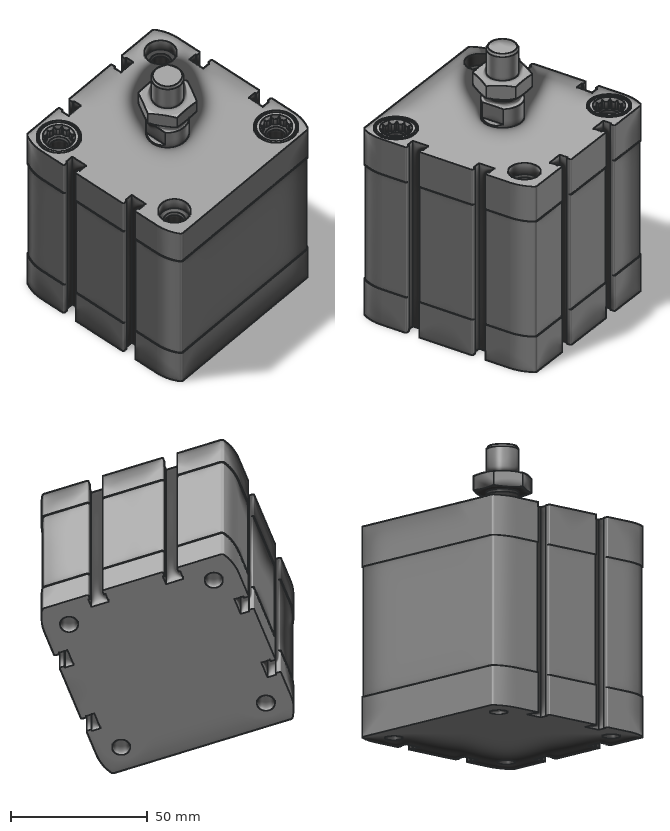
import cadquery as cq
import math

TOTAL_HEIGHT = 109.0
HOUSING_WIDTH = 75.5
HOUSING_HEIGHT = 79.0
CAP_HEIGHT = 15.0
BARREL_INSET = 0.3

HOLE_OFFSET = 28.1
CORNER_RADIUS = 18.0
EDGE_RADIUS = 1.4

SLOT_OFFSET = 14.5
SLOT_MOUTH_WIDTH = 5.5
SLOT_INNER_WIDTH = 6.8
SLOT_LIP = 2.0
SLOT_DEPTH = 5.3
MOUTH_RADIUS = 0.4

BORE_DIAMETER = 6.6
BORE_COUNTERSINK_DIAMETER = 8.0
BORE_COUNTERSINK_DEPTH = 0.9
COUNTERBORE_DIAMETER = 12.0
COUNTERBORE_DEPTH = 4.9

COLLAR_DIAMETER = 15.5
COLLAR_CHAMFER = 0.49
GROOVE_DIAMETER = 16.4
GROOVE_DEPTH = 1.1
SOCKET_DEPTH = 4.4
SOCKET_MOUTH_DIAMETER = 12.0
SOCKET_CONE_DEPTH = 1.4
SOCKET_DIAMETER = 10.2
SOCKET_POINT_RADIUS = 5.7
SOCKET_POINTS = 12

ROD_DIAMETER = 16.0
THREAD_DIAMETER = 12.0
THREAD_TOP_DIAMETER = 10.7
THREAD_CHAMFER_HEIGHT = 1.1
NECK_DIAMETER = 10.2
SHOULDER_Z = 87.0
NECK_TOP_Z = 88.4
NECK_ROOT_RADIUS = 0.9
THREAD_BOTTOM_Z = 90.8
FLAT_WIDTH = 13.1
FLAT_BOTTOM_Z = 80.4
FLAT_RUNOUT_ANGLE = 30.0

NUT_SIDES = 6
NUT_WIDTH = 19.0
NUT_HEIGHT = 6.0
NUT_BOTTOM_Z = 91.9
NUT_FACE_DIAMETER = 18.7
NUT_CHAMFER_ANGLE = 15.0

HALF_WIDTH = HOUSING_WIDTH / 2
BARREL_HEIGHT = HOUSING_HEIGHT - 2 * CAP_HEIGHT
NUT_CORNER_DIAMETER = NUT_WIDTH / math.cos(math.pi / NUT_SIDES)


def cylinder(diameter, bottom, top):
    """Upright cylinder on the Z axis between two heights."""
    return cq.Workplane("XY").workplane(offset=bottom).circle(diameter / 2).extrude(top - bottom)


def cone(bottom_diameter, top_diameter, bottom, top):
    """Upright truncated cone on the Z axis between two heights."""
    solid = cq.Solid.makeCone(
        bottom_diameter / 2, top_diameter / 2, top - bottom, pnt=cq.Vector(0, 0, bottom)
    )
    return cq.Workplane(obj=solid)


def block_outline(inset):
    """Housing outline with a large arc at each corner, set in from the cap surface."""
    half = HALF_WIDTH - inset
    radius = CORNER_RADIUS - inset
    arc_centre_y = HALF_WIDTH - CORNER_RADIUS
    reach = half - HOLE_OFFSET
    side_y = arc_centre_y + math.sqrt(radius**2 - reach**2)
    half_turn = math.asin(reach / radius) / 2
    middle_x = HOLE_OFFSET + radius * math.sin(half_turn)
    middle_y = arc_centre_y + radius * math.cos(half_turn)
    return (
        cq.Workplane("XY")
        .moveTo(-HOLE_OFFSET, half)
        .lineTo(HOLE_OFFSET, half)
        .threePointArc((middle_x, middle_y), (half, side_y))
        .lineTo(half, -side_y)
        .threePointArc((middle_x, -middle_y), (HOLE_OFFSET, -half))
        .lineTo(-HOLE_OFFSET, -half)
        .threePointArc((-middle_x, -middle_y), (-half, -side_y))
        .lineTo(-half, side_y)
        .threePointArc((-middle_x, middle_y), (-HOLE_OFFSET, half))
        .close()
    )


def t_slot(face_angle, offset, surface, height):
    """T-slot cutter with a rounded mouth, in the face whose outward normal is at face_angle."""
    mouth = SLOT_MOUTH_WIDTH / 2
    inner = SLOT_INNER_WIDTH / 2
    lip_x = HALF_WIDTH - SLOT_LIP
    floor_x = HALF_WIDTH - SLOT_DEPTH
    round_x = surface - MOUTH_RADIUS
    flare = mouth + MOUTH_RADIUS
    arc_step = MOUTH_RADIUS * (1 - math.sqrt(0.5))
    return (
        cq.Workplane("XY")
        .moveTo(floor_x, -inner)
        .lineTo(lip_x, -inner)
        .lineTo(lip_x, -mouth)
        .lineTo(round_x, -mouth)
        .threePointArc((surface - arc_step, -mouth - arc_step), (surface, -flare))
        .lineTo(surface, flare)
        .threePointArc((surface - arc_step, mouth + arc_step), (round_x, mouth))
        .lineTo(lip_x, mouth)
        .lineTo(lip_x, inner)
        .lineTo(floor_x, inner)
        .close()
        .extrude(height)
        .translate((0, offset, 0))
        .rotate((0, 0, 0), (0, 0, 1), face_angle)
    )


def block(inset, height):
    """One slotted length of the housing: T-slots on -X, +Y and -Y, and a plain +X face."""
    body = block_outline(inset).extrude(height)
    body = body.edges("|Z and (>X or <X)").fillet(EDGE_RADIUS)
    for face_angle in (90, 180, 270):
        for offset in (-SLOT_OFFSET, SLOT_OFFSET):
            body = body.cut(t_slot(face_angle, offset, HALF_WIDTH - inset, height))
    return body


def corner_bore(seat_z):
    """Through bore with a countersink below a seat at the given height."""
    countersink = cone(BORE_DIAMETER, BORE_COUNTERSINK_DIAMETER, seat_z - BORE_COUNTERSINK_DEPTH, seat_z)
    return cylinder(BORE_DIAMETER, 0, seat_z).union(countersink)


def counterbored_hole():
    """Cutter for a plain corner hole."""
    seat_z = HOUSING_HEIGHT - COUNTERBORE_DEPTH
    return corner_bore(seat_z).union(cylinder(COUNTERBORE_DIAMETER, seat_z, HOUSING_HEIGHT))


def socket(bottom):
    """Twelve-point socket: flat teeth with a V groove between each pair."""
    step = 360 / SOCKET_POINTS
    points = []
    for index in range(SOCKET_POINTS):
        for turn, radius in (
            (0, SOCKET_POINT_RADIUS),
            (step / 4, SOCKET_DIAMETER / 2),
            (step * 3 / 4, SOCKET_DIAMETER / 2),
        ):
            angle = math.radians(index * step + turn)
            points.append((radius * math.cos(angle), radius * math.sin(angle)))
    return (
        cq.Workplane("XY").workplane(offset=bottom)
        .polyline(points).close().extrude(HOUSING_HEIGHT - bottom)
    )


def collar_groove():
    """Ring cutter that leaves a chamfered collar flush with the housing top."""
    groove_z = HOUSING_HEIGHT - GROOVE_DEPTH
    collar = cylinder(COLLAR_DIAMETER, groove_z, HOUSING_HEIGHT).faces(">Z").chamfer(COLLAR_CHAMFER)
    return cylinder(GROOVE_DIAMETER, groove_z, HOUSING_HEIGHT).cut(collar)


def socket_hole():
    """Cutter for a twelve-point socket with a conical mouth, above a through bore."""
    seat_z = HOUSING_HEIGHT - SOCKET_DEPTH
    mouth_z = HOUSING_HEIGHT - SOCKET_CONE_DEPTH
    mouth = cone(SOCKET_DIAMETER, SOCKET_MOUTH_DIAMETER, mouth_z, HOUSING_HEIGHT)
    return corner_bore(seat_z).union(socket(seat_z)).union(mouth)


def make_housing():
    cap = block(0, CAP_HEIGHT)
    barrel = block(BARREL_INSET, BARREL_HEIGHT).translate((0, 0, CAP_HEIGHT))
    housing = cap.union(barrel).union(cap.translate((0, 0, CAP_HEIGHT + BARREL_HEIGHT)))
    for side in (-1, 1):
        plain_corner = (side * HOLE_OFFSET, -side * HOLE_OFFSET, 0)
        collar_corner = (side * HOLE_OFFSET, side * HOLE_OFFSET, 0)
        housing = housing.cut(counterbored_hole().translate(plain_corner))
        housing = housing.cut(collar_groove().translate(collar_corner))
        housing = housing.cut(socket_hole().translate(collar_corner))
    return housing


def make_rod():
    """Stepped rod standing on the housing, with a necked thread end and two spanner flats."""
    neck_x = NECK_DIAMETER / 2
    thread_x = THREAD_DIAMETER / 2
    root_step = NECK_ROOT_RADIUS * (1 - math.sqrt(0.5))
    rod = (
        cq.Workplane("XZ")
        .moveTo(0, HOUSING_HEIGHT)
        .lineTo(ROD_DIAMETER / 2, HOUSING_HEIGHT)
        .lineTo(ROD_DIAMETER / 2, SHOULDER_Z)
        .lineTo(neck_x + NECK_ROOT_RADIUS, SHOULDER_Z)
        .threePointArc(
            (neck_x + root_step, SHOULDER_Z + root_step), (neck_x, SHOULDER_Z + NECK_ROOT_RADIUS)
        )
        .lineTo(neck_x, NECK_TOP_Z)
        .lineTo(thread_x, THREAD_BOTTOM_Z)
        .lineTo(thread_x, TOTAL_HEIGHT - THREAD_CHAMFER_HEIGHT)
        .lineTo(THREAD_TOP_DIAMETER / 2, TOTAL_HEIGHT)
        .lineTo(0, TOTAL_HEIGHT)
        .close()
        .revolve(360, (0, 0, 0), (0, 1, 0))
    )
    flat_y = FLAT_WIDTH / 2
    outer_y = ROD_DIAMETER / 2
    runout_z = FLAT_BOTTOM_Z - (outer_y - flat_y) * math.tan(math.radians(FLAT_RUNOUT_ANGLE))
    for side in (-1, 1):
        flat = [
            (side * flat_y, SHOULDER_Z),
            (side * flat_y, FLAT_BOTTOM_Z),
            (side * outer_y, runout_z),
            (side * outer_y, SHOULDER_Z),
        ]
        rod = rod.cut(cq.Workplane("YZ").polyline(flat).close().extrude(ROD_DIAMETER / 2, both=True))
    return rod


def make_nut():
    """Hexagon nut with two corners on the Y axis, chamfered top and bottom."""
    top = NUT_BOTTOM_Z + NUT_HEIGHT
    face_radius = NUT_FACE_DIAMETER / 2
    corner_radius = NUT_CORNER_DIAMETER / 2
    drop = (corner_radius - face_radius) * math.tan(math.radians(NUT_CHAMFER_ANGLE))
    chamfered = [
        (THREAD_DIAMETER / 2, NUT_BOTTOM_Z),
        (face_radius, NUT_BOTTOM_Z),
        (corner_radius, NUT_BOTTOM_Z + drop),
        (corner_radius, top - drop),
        (face_radius, top),
        (THREAD_DIAMETER / 2, top),
    ]
    ring = cq.Workplane("XZ").polyline(chamfered).close().revolve(360, (0, 0, 0), (0, 1, 0))
    hexagon = (
        cq.Workplane("XY").workplane(offset=NUT_BOTTOM_Z)
        .polygon(NUT_SIDES, NUT_CORNER_DIAMETER).extrude(NUT_HEIGHT)
        .rotate((0, 0, 0), (0, 0, 1), 180 / NUT_SIDES)
    )
    return hexagon.intersect(ring)


housing = make_housing()
rod = make_rod()
nut = make_nut()

result = cq.Compound.makeCompound([housing.val(), rod.val(), nut.val()])